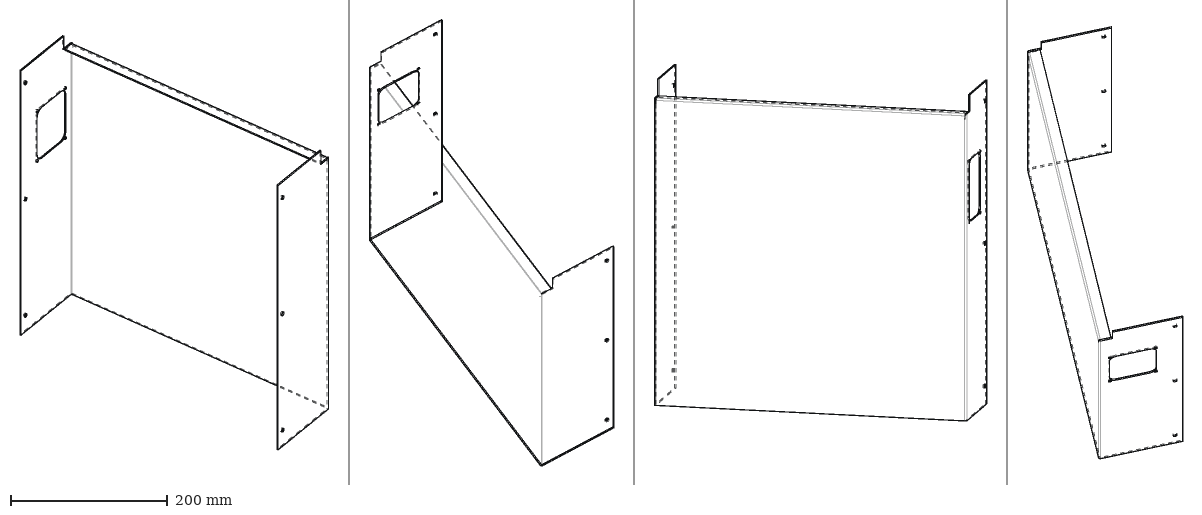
import cadquery as cq

width = 410.0
depth = 110.0
height = 422.0
sheet = 2.0
bend_radius = 2.5

step_depth = 18.0
step_drop = 21.5
panel_height = height - step_drop
lip_depth = 16.5
lip_gap = 0.2

mount_diameter = 5.0
mount_setback = 10.0
mount_end_margin = 25.5

window_depth = 61.0
window_height = 81.0
window_corner = 10.5
window_y = 65.5
window_z = 296.5
screw_diameter = 4.0
screw_pitch_y = 60.0
screw_pitch_z = 79.8

inner_radius = bend_radius - sheet
overlap = 4.2


def make_channel():
    """Back panel and both side walls, with rounded vertical folds."""
    outer = (
        cq.Workplane("XY")
        .box(width, depth, height, centered=(True, False, False))
        .edges("|Z and >Y")
        .fillet(bend_radius)
    )
    inner = (
        cq.Workplane("XY")
        .box(width - 2 * sheet, depth - sheet, height, centered=(True, False, False))
        .edges("|Z and >Y")
        .fillet(inner_radius)
    )
    fold_room = (
        cq.Workplane("XY")
        .box(wall_clear_width(), step_depth, height, centered=(True, False, False))
        .translate((0, depth - step_depth, panel_height - bend_radius))
    )
    step = (
        cq.Workplane("XY")
        .box(width, step_depth, step_drop, centered=(True, False, False))
        .translate((0, depth - step_depth, height - step_drop))
    )
    return outer.cut(inner).cut(step).cut(fold_room)


def wall_clear_width():
    """Length of the folded lip, just short of the two side walls."""
    return width - 2 * (sheet + lip_gap)


def make_lip():
    """Top of the back panel, folded forward between the side walls."""
    lip_width = wall_clear_width()
    front = depth - lip_depth
    fold_y = depth - bend_radius
    fold_z = panel_height - bend_radius
    return (
        cq.Workplane("YZ", origin=(-lip_width / 2, 0, 0))
        .moveTo(front, panel_height)
        .lineTo(fold_y, panel_height)
        .radiusArc((depth, fold_z), bend_radius)
        .lineTo(depth, fold_z - overlap)
        .lineTo(depth - sheet, fold_z - overlap)
        .lineTo(depth - sheet, fold_z)
        .radiusArc((fold_y, panel_height - sheet), -inner_radius)
        .lineTo(front, panel_height - sheet)
        .close()
        .extrude(lip_width)
    )


def wall_plane():
    """Sketch plane just outside the left wall; local axes are Y and Z."""
    return cq.Workplane("YZ", origin=(-width / 2 - overlap, 0, 0))


def mount_holes():
    levels = (mount_end_margin, height / 2, height - mount_end_margin)
    return (
        wall_plane()
        .pushPoints([(mount_setback, z) for z in levels])
        .circle(mount_diameter / 2)
        .extrude(width + 2 * overlap)
    )


def window_cutter():
    cut_length = sheet + 2 * overlap
    window = (
        wall_plane()
        .center(window_y, window_z)
        .rect(window_depth, window_height)
        .extrude(cut_length)
        .edges("|X")
        .fillet(window_corner)
    )
    screws = (
        wall_plane()
        .center(window_y, window_z)
        .rect(screw_pitch_y, screw_pitch_z, forConstruction=True)
        .vertices()
        .circle(screw_diameter / 2)
        .extrude(cut_length)
    )
    return window.union(screws)


result = make_channel().union(make_lip()).cut(mount_holes()).cut(window_cutter())